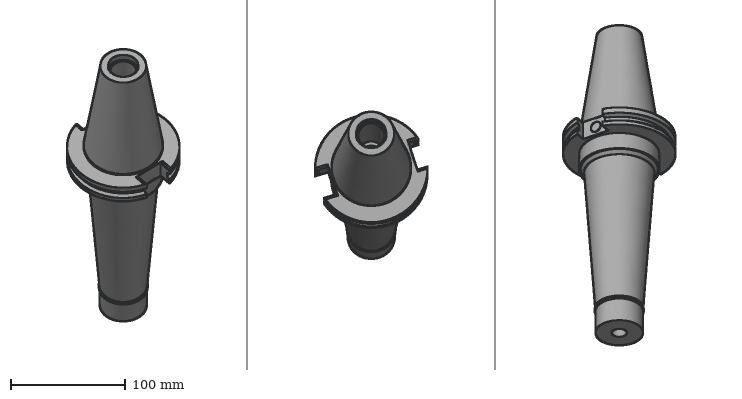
import cadquery as cq
import math

total_length = 304.8
taper_length = 101.6
gauge_z = total_length - taper_length

gauge_radius = 34.925
taper_ratio = 7 / 24
taper_top_radius = gauge_radius - taper_length * taper_ratio / 2
neck_radius = 34.4
neck_length = 1.6

flange_radius = 49.225
flange_top_z = gauge_z - neck_length
gauge_to_flange_bottom = 19.05
flange_bottom_z = gauge_z - gauge_to_flange_bottom
gauge_to_groove_middle = 10.9
groove_z = gauge_z - gauge_to_groove_middle
groove_floor_radius = 45.7
groove_floor_width = 3.8
groove_flank_angle = math.radians(30)
groove_floor_half = groove_floor_width / 2
groove_depth = flange_radius - groove_floor_radius
groove_mouth_half = groove_floor_half + groove_depth * math.tan(groove_flank_angle)

collar_radius = 35.1
collar_length = 15.6
collar_bottom_z = flange_bottom_z - collar_length
cone_top_radius = 33.8
cone_height = 3.6
cone_bottom_z = collar_bottom_z - cone_height

shank_top_radius = 30.8
shank_bottom_radius = 21.1
nose_radius = 20.8
nose_length = 22.4
bead_radius = 21.5
bead_width = 1.8
bead_top_z = nose_length + bead_width
relief_radius = 18.7
relief_width = 1.0
shank_bottom_z = bead_top_z + relief_width

mouth_radius = 13.2
mouth_depth = 6.35
stud_bore_radius = 11.3
stud_bore_depth = 60.0
coolant_radius = 7.5
coolant_bottom_z = flange_bottom_z
through_hole_radius = 6.6

slot_width = 26.0
slot_floor_minus_x = 38.1
slot_floor_plus_x = 35.3
slot_chamfer_width = 2.0
slot_chamfer_height = 1.0

chip_radius = 5.0
chip_thickness = 4.5


def turned(profile):
    """Full revolution about Z of a closed (radius, height) profile."""
    return cq.Workplane("YZ").polyline(profile).close().revolve(360, (0, 0), (0, 1))


def holder_blank():
    """Outer shape of the holder, turned about Z."""
    profile = [
        (0, 0),
        (nose_radius, 0),
        (nose_radius, nose_length),
        (bead_radius, nose_length),
        (bead_radius, bead_top_z),
        (relief_radius, bead_top_z),
        (relief_radius, shank_bottom_z),
        (shank_bottom_radius, shank_bottom_z),
        (shank_top_radius, cone_bottom_z),
        (cone_top_radius, collar_bottom_z),
        (collar_radius, collar_bottom_z),
        (collar_radius, flange_bottom_z),
        (flange_radius, flange_bottom_z),
        (flange_radius, groove_z - groove_mouth_half),
        (groove_floor_radius, groove_z - groove_floor_half),
        (groove_floor_radius, groove_z + groove_floor_half),
        (flange_radius, groove_z + groove_mouth_half),
        (flange_radius, flange_top_z),
        (neck_radius, flange_top_z),
        (neck_radius, gauge_z),
        (gauge_radius, gauge_z),
        (taper_top_radius, total_length),
        (0, total_length),
    ]
    return turned(profile)


def axial_bore():
    """Mouth counterbore, retention stud bore, coolant passage and through hole."""
    profile = [
        (0, 0),
        (through_hole_radius, 0),
        (through_hole_radius, coolant_bottom_z),
        (coolant_radius, coolant_bottom_z),
        (coolant_radius, total_length - stud_bore_depth),
        (stud_bore_radius, total_length - stud_bore_depth),
        (stud_bore_radius, total_length - mouth_depth),
        (mouth_radius, total_length - mouth_depth),
        (mouth_radius, total_length),
        (0, total_length),
    ]
    return turned(profile)


def drive_slot(floor_x, direction):
    """Slot across the flange rim from floor_x outwards, flared at its top edges."""
    half_width = slot_width / 2
    flare_half = half_width + slot_chamfer_width
    section = [
        (-half_width, flange_bottom_z),
        (half_width, flange_bottom_z),
        (half_width, flange_top_z - slot_chamfer_height),
        (flare_half, flange_top_z),
        (-flare_half, flange_top_z),
        (-half_width, flange_top_z - slot_chamfer_height),
    ]
    return (
        cq.Workplane("YZ", origin=(direction * floor_x, 0, 0))
        .polyline(section)
        .close()
        .extrude(direction * flange_radius)
    )


def data_chip():
    """Round disc lying flush with the -X slot floor."""
    return (
        cq.Workplane("YZ", origin=(-slot_floor_minus_x, 0, groove_z))
        .circle(chip_radius)
        .extrude(chip_thickness)
    )


chip = data_chip()
holder = (
    holder_blank()
    .cut(axial_bore())
    .cut(drive_slot(slot_floor_minus_x, -1))
    .cut(drive_slot(slot_floor_plus_x, 1))
    .cut(chip)
)

result = cq.Compound.makeCompound([holder.val(), chip.val()])